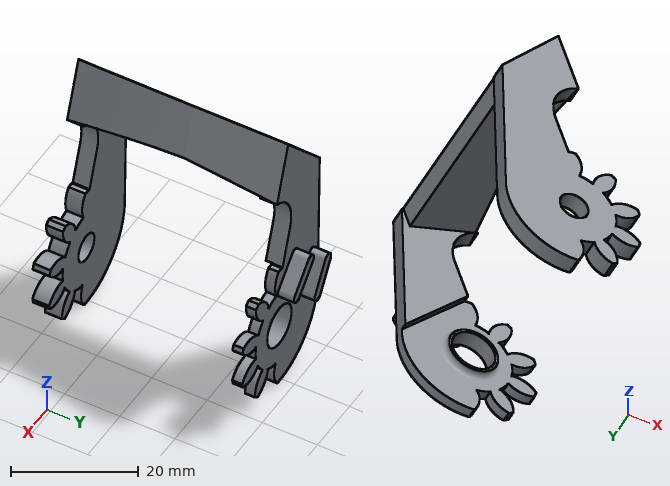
import cadquery as cq
import math


bracket_width = 38.05
leg_thickness = 3.05
gear_plate_thickness = 1.85
peg_height = 2.9
back_leg_inner = bracket_width - leg_thickness
gear_plate_inner = bracket_width - gear_plate_thickness

outer_radius = 12.0
root_radius = 7.4
tooth_count_per_turn = 10
tooth_pitch = 360 / tooth_count_per_turn
first_tooth_angle = -89
tooth_total = 6
tooth_base_half_angle = 8.3
tooth_tip_half_angle = 2.4
tooth_belly_radius = 9.65
tooth_belly_half_width = 1.5

tip = (-2.75, 37.35)
shoulder = (-12.6, 26.15)
heel_angle = 178.7
lean_angle = 18.9
nose_length = 10.9
finger_radius = 6.55
neck_foot = (-1.0, 11.9)

bar_depth = 12.65
saddle_depth = 2.7
saddle_bottom_y = 19.8
saddle_middle_y = 9.85
saddle_middle_depth = 1.8

front_hole_diameter = 5.0
back_hole_diameter = 7.6
collar_diameter = 8.6
collar_fillet = 1.1

peg_width = 2.0
peg_outer_end = (-10.1, 7.5)
peg_inner_end = (-6.95, 2.3)
peg_mirror_angle = 127.7


def polar(radius, angle):
    return (radius * math.cos(math.radians(angle)), radius * math.sin(math.radians(angle)))


def shifted(point, distance, angle):
    step = polar(distance, angle)
    return (point[0] + step[0], point[1] + step[1])


def section(y):
    """XZ sketch plane at the given Y; a negative extrusion goes toward +Y."""
    return cq.Workplane("XZ", origin=(0, y, 0))


down_nose = lean_angle - 90
into_leg = lean_angle + 180
nose_end = shifted(tip, nose_length, down_nose)
finger_center = shifted(nose_end, finger_radius, down_nose)
finger_middle = shifted(finger_center, finger_radius, lean_angle + 135)
finger_end = shifted(finger_center, finger_radius, into_leg)
heel = polar(outer_radius, heel_angle)


def tooth(angle, y, thickness):
    base = polar(root_radius, tooth_base_half_angle)
    end = polar(outer_radius, tooth_tip_half_angle)
    profile = (
        section(y)
        .moveTo(0, 0)
        .lineTo(base[0], -base[1])
        .threePointArc((tooth_belly_radius, -tooth_belly_half_width), (end[0], -end[1]))
        .threePointArc((outer_radius, 0), end)
        .threePointArc((tooth_belly_radius, tooth_belly_half_width), base)
        .close()
    )
    return profile.extrude(-thickness).rotate((0, 0, 0), (0, -1, 0), angle)


def leg(y, thickness):
    first_tip = polar(outer_radius, first_tooth_angle)
    arc_middle = polar(outer_radius, (heel_angle + 360 + first_tooth_angle) / 2)
    last_tip = (0, outer_radius)
    body = (
        section(y)
        .moveTo(*tip)
        .lineTo(*nose_end)
        .threePointArc(finger_middle, finger_end)
        .lineTo(*neck_foot)
        .lineTo(*last_tip)
        .lineTo(0, 0)
        .lineTo(*first_tip)
        .threePointArc(arc_middle, heel)
        .lineTo(*shoulder)
        .close()
        .extrude(-thickness)
    )
    body = body.union(section(y).circle(root_radius).extrude(-thickness))
    for index in range(tooth_total):
        body = body.union(tooth(first_tooth_angle + index * tooth_pitch, y, thickness))
    return body


def back_leg():
    """Full thickness above the neck-to-heel diagonal, thinner around the gear."""
    plate = leg(gear_plate_inner, gear_plate_thickness)
    pad = (
        section(back_leg_inner)
        .polyline([tip, nose_end, finger_center, neck_foot, heel, shoulder])
        .close()
        .extrude(-leg_thickness)
    )
    return plate.union(pad.intersect(leg(back_leg_inner, leg_thickness)))


def cross_bar():
    rear_bottom = shifted(nose_end, bar_depth, into_leg)
    bevel_angle = math.degrees(math.atan2(tip[1] - shoulder[1], tip[0] - shoulder[0]))
    rear_height = nose_length - bar_depth * math.tan(math.radians(bevel_angle - lean_angle))
    rear_top = shifted(rear_bottom, rear_height, lean_angle + 90)
    return section(0).polyline([tip, nose_end, rear_bottom, rear_top]).close().extrude(-bracket_width)


def saddle_cut():
    """Hollow in the nose face, swept along the slope of that face."""
    slope = polar(1, down_nose)
    plane = cq.Plane(
        origin=(tip[0], 0, tip[1]),
        xDir=(0, 1, 0),
        normal=(slope[0], 0, slope[1]),
    )
    return (
        cq.Workplane(plane)
        .moveTo(0, 0)
        .threePointArc((saddle_middle_y, -saddle_middle_depth), (saddle_bottom_y, -saddle_depth))
        .lineTo(bracket_width, 0)
        .close()
        .extrude(nose_length)
    )


def collar():
    """Ring on the inner face of the gear plate with a concave flare at its foot."""
    radius = collar_diameter / 2
    foot_y = gear_plate_inner
    flare_y = foot_y - collar_fillet
    flare_radius = radius + collar_fillet
    bend = polar(collar_fillet, 135)
    return (
        cq.Workplane("XY")
        .moveTo(0, back_leg_inner)
        .lineTo(radius, back_leg_inner)
        .lineTo(radius, flare_y)
        .threePointArc((flare_radius + bend[0], flare_y + bend[1]), (flare_radius, foot_y))
        .lineTo(0, foot_y)
        .close()
        .revolve(360, (0, 0), (0, 1))
    )


def mirrored(point):
    angle = math.degrees(math.atan2(point[1], point[0]))
    return polar(math.hypot(*point), 2 * peg_mirror_angle - angle)


def peg(start, end):
    run = (end[0] - start[0], end[1] - start[1])
    middle = ((start[0] + end[0]) / 2, (start[1] + end[1]) / 2)
    return (
        section(bracket_width)
        .center(*middle)
        .slot2D(math.hypot(*run) + peg_width, peg_width, math.degrees(math.atan2(run[1], run[0])))
        .extrude(-peg_height)
    )


bracket = leg(0, leg_thickness).union(back_leg()).union(cross_bar()).cut(saddle_cut())
bracket = bracket.union(collar())
bracket = bracket.union(peg(peg_outer_end, peg_inner_end))
bracket = bracket.union(peg(mirrored(peg_outer_end), mirrored(peg_inner_end)))

front_hole = section(0).circle(front_hole_diameter / 2).extrude(-leg_thickness)
back_hole = section(back_leg_inner).circle(back_hole_diameter / 2).extrude(-leg_thickness)
result = bracket.cut(front_hole).cut(back_hole)